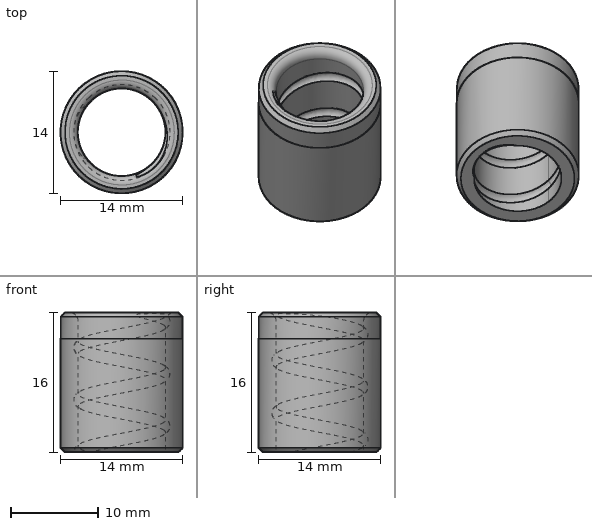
import cadquery as cq

height = 16.0
body_radius = 7.0
bore_radius = 5.0
collar_height = 3.0
collar_radius = 6.97
end_chamfer = 0.5
mouth_fillet = 1.0

groove_section_radius = 0.75
groove_depth = 0.5
groove_pitch = 6.0
groove_path_radius = bore_radius + groove_depth - groove_section_radius
groove_start_z = -3.0
groove_turns = 4


def bushing_body():
    """Turned sleeve: chamfered outside, reduced collar on top, rounded bore mouth."""
    collar_base = height - collar_height
    shank = (
        cq.Workplane("XY")
        .circle(body_radius)
        .extrude(collar_base)
        .faces("<Z")
        .chamfer(end_chamfer)
    )
    collar = (
        cq.Workplane("XY", origin=(0, 0, collar_base))
        .circle(collar_radius)
        .extrude(collar_height)
        .faces(">Z")
        .chamfer(end_chamfer)
    )
    bore = cq.Workplane("XY").circle(bore_radius).extrude(height)
    mouth_edge = cq.selectors.RadiusNthSelector(0)
    return shank.union(collar).cut(bore).faces(">Z").edges(mouth_edge).fillet(mouth_fillet)


def groove_turn(start_z):
    """One turn of the helical round bar that forms the groove where it overlaps the wall."""
    path = cq.Wire.makeHelix(
        groove_pitch,
        groove_pitch,
        groove_path_radius,
        center=cq.Vector(0, 0, start_z),
        lefthand=True,
    )
    return (
        cq.Workplane("XZ", origin=(groove_path_radius, 0, start_z))
        .circle(groove_section_radius)
        .sweep(cq.Workplane(path), isFrenet=True)
    )


result = bushing_body()
for turn in range(groove_turns):
    result = result.cut(groove_turn(groove_start_z + turn * groove_pitch))